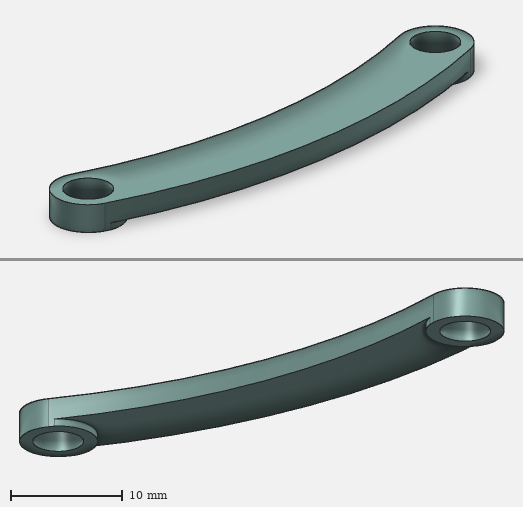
import cadquery as cq
import math

boss_diameter = 7.0
foot_diameter = 7.07
hole_diameter = 4.55
total_height = 2.75
plate_thickness = 2.05
pivot_offset_x = -14.35
pivot_offset_y = 42.15
arc_radius = 65.1

boss_radius = boss_diameter / 2
foot_height = total_height - plate_thickness
pivots = [(0, 0), (pivot_offset_x, pivot_offset_y)]

pivot_distance = math.hypot(pivot_offset_x, pivot_offset_y)
half_sweep = math.asin(pivot_distance / 2 / arc_radius)
chord_angle = math.atan2(pivot_offset_y, pivot_offset_x)
middle_angle = chord_angle - math.pi / 2
start_angle = middle_angle - half_sweep
end_angle = middle_angle + half_sweep
centre_x = -arc_radius * math.cos(start_angle)
centre_y = -arc_radius * math.sin(start_angle)


def arc_point(radius, angle):
    """Point on a circle about the centre of the curved arm."""
    return (centre_x + radius * math.cos(angle), centre_y + radius * math.sin(angle))


def curved_arm():
    """Full-height curved bar of constant width between the two pivots."""
    outer = arc_radius + boss_radius
    inner = arc_radius - boss_radius
    return (
        cq.Workplane("XY")
        .moveTo(*arc_point(outer, start_angle))
        .threePointArc(arc_point(outer, middle_angle), arc_point(outer, end_angle))
        .lineTo(*arc_point(inner, end_angle))
        .threePointArc(arc_point(inner, middle_angle), arc_point(inner, start_angle))
        .close()
        .extrude(total_height)
    )


def pivot_cylinders(diameter, height):
    """Cylinders standing on the base plane at both pivots."""
    return cq.Workplane("XY").pushPoints(pivots).circle(diameter / 2).extrude(height)


def underside_relief(body):
    """Material removed below the plate, leaving a round foot at each pivot."""
    size = body.val().BoundingBox()
    lower_layer = (
        cq.Workplane("XY")
        .center(size.center.x, size.center.y)
        .rect(size.xlen, size.ylen)
        .extrude(foot_height)
    )
    return lower_layer.cut(pivot_cylinders(foot_diameter, foot_height))


link = curved_arm().union(pivot_cylinders(boss_diameter, total_height))
link = link.cut(underside_relief(link))
result = link.cut(pivot_cylinders(hole_diameter, total_height))